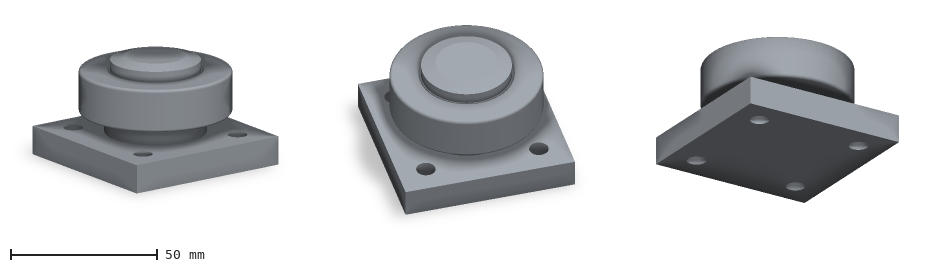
import cadquery as cq

plate_side = 60.0
plate_thickness = 10.0
hole_diameter = 6.65
hole_spacing = 40.0

collar_diameter = 35.0
collar_top = 16.0
neck_diameter = 19.0
cap_diameter = 31.0
cap_flat_diameter = 21.0
cap_bevel_height = 1.5
total_height = 37.0

roller_diameter = 52.5
roller_bottom = 17.0
roller_width = 15.0
roller_edge_radius = 1.0
roller_top = roller_bottom + roller_width

seal_diameter = 32.0
seal_recess = 0.25
seal_top = roller_top - seal_recess
bore_chamfer = 0.5


def cylinder(diameter, bottom, top):
    """Cylinder on the Z axis between two heights."""
    return cq.Workplane("XY").workplane(offset=bottom).circle(diameter / 2).extrude(top - bottom)


def make_plate():
    """Square plate with a through hole near each corner."""
    return (
        cq.Workplane("XY")
        .rect(plate_side, plate_side)
        .extrude(plate_thickness)
        .faces(">Z")
        .workplane()
        .rect(hole_spacing, hole_spacing, forConstruction=True)
        .vertices()
        .hole(hole_diameter)
    )


def make_roller():
    """Roller with rounded rims; the seal disc stands inside its chamfered bore edge."""
    roller = cylinder(roller_diameter, roller_bottom, roller_top).edges().fillet(roller_edge_radius)
    seal_radius = seal_diameter / 2
    chamfer_floor = roller_top - bore_chamfer
    bore_edge = (
        cq.Workplane("XZ")
        .moveTo(0, chamfer_floor)
        .lineTo(seal_radius, chamfer_floor)
        .lineTo(seal_radius + bore_chamfer, roller_top)
        .lineTo(0, roller_top)
        .close()
        .revolve(360, (0, 0, 0), (0, 1, 0))
    )
    seal = cylinder(seal_diameter, chamfer_floor, seal_top)
    return roller.cut(bore_edge).union(seal)


def make_cap():
    """Pin head standing on the seal disc, bevelled to a smaller flat top."""
    cap = cylinder(cap_diameter, seal_top, total_height)
    bevel_width = (cap_diameter - cap_flat_diameter) / 2
    return cap.faces(">Z").chamfer(cap_bevel_height, bevel_width)


collar = cylinder(collar_diameter, plate_thickness, collar_top)
neck = cylinder(neck_diameter, collar_top, roller_bottom)

result = make_plate().union(collar).union(neck).union(make_roller()).union(make_cap())